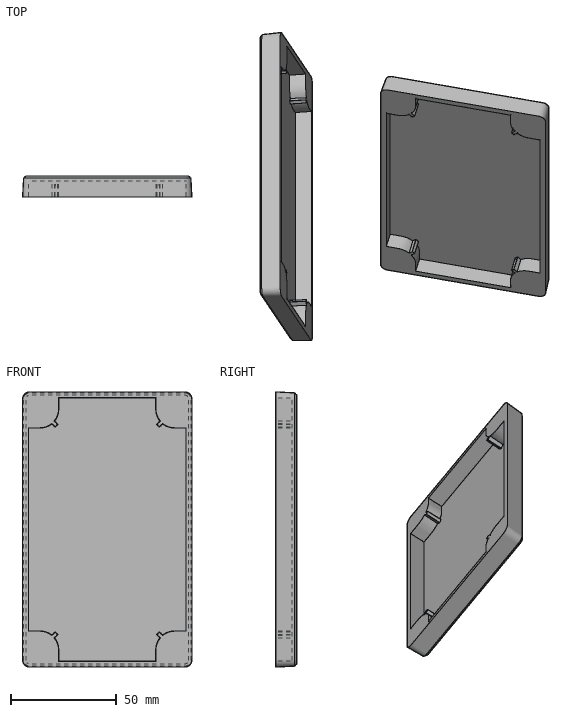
import cadquery as cq
import math

width = 80.0
depth = 10.0
height = 130.0
corner_radius = 3.5
side_draft = 3.0
back_chamfer = 1.05

wall = 2.8
floor_thickness = 2.3
post_size = 17.0
post_radius = 8.75
pocket_draft = 1.0

rib_width = 1.6
rib_projection = 2.15
rib_root = 1.0

front_y = -depth / 2
pocket_depth = depth - floor_thickness
rib_angle = 45.0

post_x = width / 2 - post_size
post_z = height / 2 - post_size
arc_x = post_x + post_radius
arc_z = post_z + post_radius


def front_plane():
    """Sketch plane on the open face: local x along +X, local y along -Z, normal +Y."""
    return cq.Workplane("XZ", origin=(0, front_y, 0)).transformed(rotate=(180, 0, 0))


def make_body():
    """Rounded block that narrows towards its chamfered back face."""
    outline = cq.Sketch().rect(width, height).vertices().fillet(corner_radius)
    block = front_plane().placeSketch(outline).extrude(depth, taper=side_draft)
    return block.faces(">Y").chamfer(back_chamfer)


def make_pocket():
    """Cross-shaped pocket that narrows towards its floor, going round the four posts."""
    side = width / 2 - wall
    end = height / 2 - wall
    return (
        front_plane()
        .moveTo(-post_x, end)
        .lineTo(post_x, end)
        .lineTo(post_x, arc_z)
        .radiusArc((arc_x, post_z), -post_radius)
        .lineTo(side, post_z)
        .lineTo(side, -post_z)
        .lineTo(arc_x, -post_z)
        .radiusArc((post_x, -arc_z), -post_radius)
        .lineTo(post_x, -end)
        .lineTo(-post_x, -end)
        .lineTo(-post_x, -arc_z)
        .radiusArc((-arc_x, -post_z), -post_radius)
        .lineTo(-side, -post_z)
        .lineTo(-side, post_z)
        .lineTo(-arc_x, post_z)
        .radiusArc((-post_x, arc_z), -post_radius)
        .close()
        .extrude(pocket_depth, taper=pocket_draft)
    )


def make_rib(side_x, side_y):
    """Rib on the rounded edge of one post, pointing diagonally into the pocket.

    side_x and side_y are the signs of the post's place in the sketch plane.
    """
    reach = post_radius + (rib_projection - rib_root) / 2
    offset_x = reach * math.cos(math.radians(rib_angle))
    offset_y = reach * math.sin(math.radians(rib_angle))
    return (
        front_plane()
        .center(side_x * (arc_x - offset_x), side_y * (arc_z - offset_y))
        .transformed(rotate=(0, 0, rib_angle * side_x * side_y))
        .rect(rib_projection + rib_root, rib_width)
        .extrude(pocket_depth, taper=-pocket_draft)
    )


pocket = make_pocket()
for side_x in (-1, 1):
    for side_y in (-1, 1):
        pocket = pocket.cut(make_rib(side_x, side_y))

result = make_body().cut(pocket)